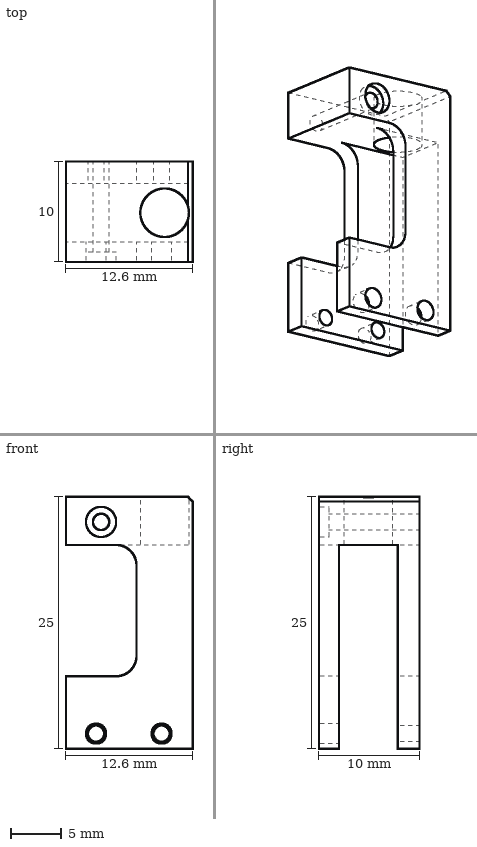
import cadquery as cq

LENGTH = 12.6
WIDTH = 10.0
HEIGHT = 25.0

FRONT_ARM_THICKNESS = 2.0
REAR_ARM_THICKNESS = 2.2
BRIDGE_HEIGHT = 4.8
SLOT_WIDTH = WIDTH - FRONT_ARM_THICKNESS - REAR_ARM_THICKNESS
SLOT_CENTER_Y = FRONT_ARM_THICKNESS + SLOT_WIDTH / 2
BRIDGE_BOTTOM_Z = HEIGHT - BRIDGE_HEIGHT

RECESS_DEPTH = 7.0
RECESS_BOTTOM_Z = 7.2
RECESS_RADIUS = 2.0

TOP_CHAMFER = 0.5

BORE_DIAMETER = 4.8
BORE_X = 9.8

SCREW_X = 3.5
SCREW_Z = HEIGHT - 2.5
SCREW_HOLE_DIAMETER = 1.6
COUNTERBORE_DIAMETER = 3.0
COUNTERBORE_DEPTH = 1.0

PIN_X_POSITIONS = (3.0, 9.5)
PIN_Z = 1.5
FRONT_PIN_DIAMETER = 2.0
REAR_PIN_DIAMETER = 1.6


def make_block():
    block = cq.Workplane("XY").box(LENGTH, WIDTH, HEIGHT, centered=False)
    return block.edges(">X and >Z").chamfer(TOP_CHAMFER)


def make_recess():
    recess_height = BRIDGE_BOTTOM_Z - RECESS_BOTTOM_Z
    recess = cq.Workplane("XY").box(RECESS_DEPTH, WIDTH, recess_height, centered=False)
    recess = recess.edges("|Y and >X").fillet(RECESS_RADIUS)
    return recess.translate((0, 0, RECESS_BOTTOM_Z))


def make_slot():
    slot = cq.Workplane("XY").box(LENGTH, SLOT_WIDTH, BRIDGE_BOTTOM_Z, centered=False)
    return slot.translate((0, FRONT_ARM_THICKNESS, 0))


def make_bore():
    bore = cq.Workplane("XY").center(BORE_X, SLOT_CENTER_Y)
    return bore.circle(BORE_DIAMETER / 2).extrude(HEIGHT)


def cross_cylinder(x, z, diameter, depth):
    """Cylinder along +Y that starts on the front face."""
    return cq.Workplane("XZ").center(x, z).circle(diameter / 2).extrude(-depth)


def make_screw_hole():
    hole = cross_cylinder(SCREW_X, SCREW_Z, SCREW_HOLE_DIAMETER, WIDTH)
    counterbore = cross_cylinder(SCREW_X, SCREW_Z, COUNTERBORE_DIAMETER, COUNTERBORE_DEPTH)
    return hole.union(counterbore)


def make_pin_hole(x):
    rear_hole = cross_cylinder(x, PIN_Z, REAR_PIN_DIAMETER, WIDTH)
    front_hole = cross_cylinder(x, PIN_Z, FRONT_PIN_DIAMETER, FRONT_ARM_THICKNESS)
    return rear_hole.union(front_hole)


result = make_block()
result = result.cut(make_recess())
result = result.cut(make_slot())
result = result.cut(make_bore())
result = result.cut(make_screw_hole())
for pin_x in PIN_X_POSITIONS:
    result = result.cut(make_pin_hole(pin_x))